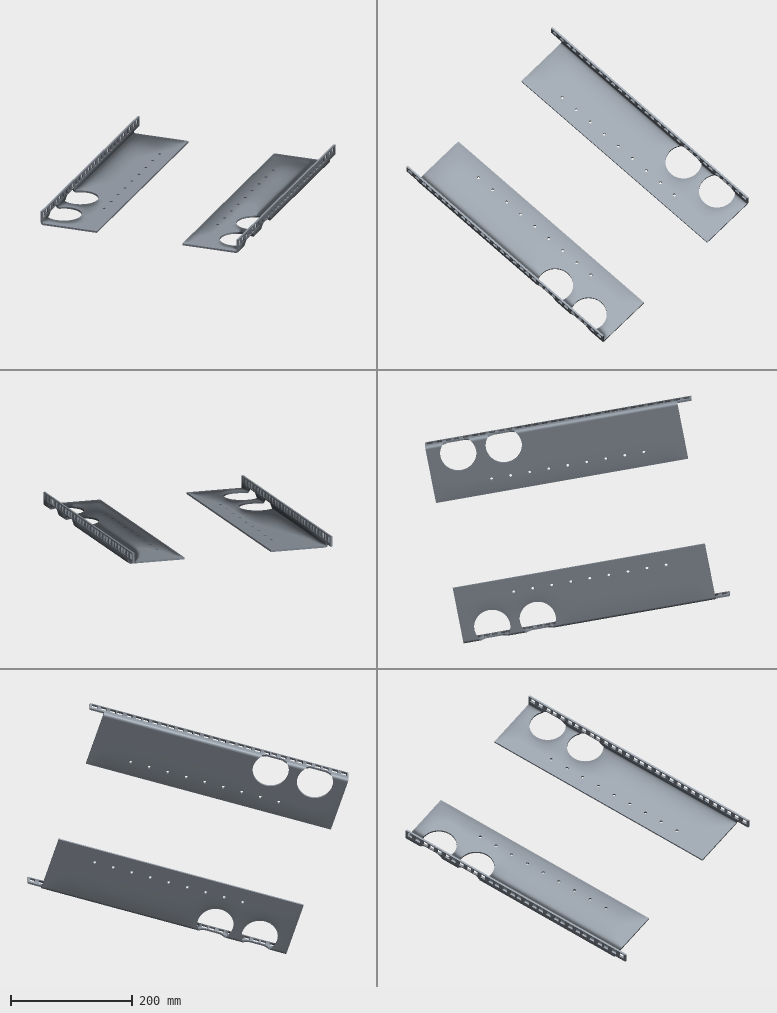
import cadquery as cq
import math


length = 447.5
overall_width = 350.0
height = 24.0

thickness = 3.0
outer_bend_radius = 5.0
inner_bend_radius = outer_bend_radius - thickness
plate_width = 99.5
outer_x = -overall_width / 2
inner_edge_x = outer_x + plate_width
front_y = -length / 2
back_y = length / 2

flange_overhang = 23.7
overhang_bottom_z = 6.5

rack_units = 10
rack_hole_size = 9.5
rack_end_margin = 8.0
rack_top_margin = 7.0
holes_per_unit = 3
short_to_long_step = 0.8
unit_in_long_steps = holes_per_unit - 1 + short_to_long_step
rack_hole_span = length - 2 * rack_end_margin
long_step = rack_hole_span / (rack_units * unit_in_long_steps - short_to_long_step)
rack_unit = unit_in_long_steps * long_step

screw_hole_diameter = 5.0
screw_hole_count = 9
screw_row_span = 256.0
screw_hole_pitch = screw_row_span / (screw_hole_count - 1)
screw_row_back_y = 130.5
screw_edge_distance = 24.5
screw_hole_x = inner_edge_x - screw_edge_distance

opening_diameter = 60.0
opening_inset = 21.0
opening_pitch = 76.5
opening_front_y = -172.0
opening_count = 2
opening_top_z = 10.5
opening_radius = opening_diameter / 2
opening_x = outer_x + opening_inset
opening_ys = [opening_front_y + i * opening_pitch for i in range(opening_count)]

bend_mid_length = math.pi / 2 * (outer_bend_radius + inner_bend_radius) / 2
opening_folded_z = 2 * outer_bend_radius - opening_inset - bend_mid_length


def make_angle():
    """L-section with a rounded bend, extruded along the rail."""
    return (
        cq.Workplane("XZ", origin=(0, front_y, 0))
        .moveTo(inner_edge_x, 0)
        .lineTo(outer_x + outer_bend_radius, 0)
        .radiusArc((outer_x, outer_bend_radius), outer_bend_radius)
        .lineTo(outer_x, height)
        .lineTo(outer_x + thickness, height)
        .lineTo(outer_x + thickness, outer_bend_radius)
        .radiusArc((outer_x + outer_bend_radius, thickness), -inner_bend_radius)
        .lineTo(inner_edge_x, thickness)
        .close()
        .extrude(-length)
    )


def make_overhang_cut():
    """Removes the plate and bend below the flange overhang."""
    return cq.Workplane("XY").box(
        plate_width, flange_overhang, overhang_bottom_z, centered=False
    ).translate((outer_x, back_y - flange_overhang, 0))


def make_rack_holes():
    """Square holes through the flange, counted from its back end."""
    first_y = back_y - rack_end_margin
    hole_ys = [
        first_y - unit * rack_unit - step * long_step
        for unit in range(rack_units)
        for step in range(holes_per_unit)
    ]
    return (
        cq.Workplane("YZ", origin=(outer_x, 0, height - rack_top_margin))
        .pushPoints([(y, 0) for y in hole_ys])
        .rect(rack_hole_size, rack_hole_size)
        .extrude(thickness)
    )


def make_screw_holes():
    """Row of round holes through the plate."""
    hole_ys = [screw_row_back_y - i * screw_hole_pitch for i in range(screw_hole_count)]
    return (
        cq.Workplane("XY")
        .pushPoints([(screw_hole_x, y) for y in hole_ys])
        .circle(screw_hole_diameter / 2)
        .extrude(thickness)
    )


def make_plate_openings():
    """Round openings through the plate and the bend."""
    return (
        cq.Workplane("XY")
        .pushPoints([(opening_x, y) for y in opening_ys])
        .circle(opening_radius)
        .extrude(outer_bend_radius)
    )


def make_flange_openings():
    """Flat-topped continuation of the round openings in the flange."""
    discs = (
        cq.Workplane("YZ", origin=(outer_x, 0, 0))
        .pushPoints([(y, opening_folded_z) for y in opening_ys])
        .circle(opening_radius)
        .extrude(thickness)
    )
    band = cq.Workplane("XY").box(
        thickness, length, opening_top_z - outer_bend_radius, centered=False
    ).translate((outer_x, front_y, outer_bend_radius))
    return discs.intersect(band)


def make_left_rail():
    """Bent rail with all its cut-outs."""
    return (
        make_angle()
        .cut(make_overhang_cut())
        .cut(make_rack_holes())
        .cut(make_screw_holes())
        .cut(make_plate_openings())
        .cut(make_flange_openings())
    )


left_rail = make_left_rail()
right_rail = left_rail.mirror("YZ")

result = cq.Compound.makeCompound([left_rail.val(), right_rail.val()])